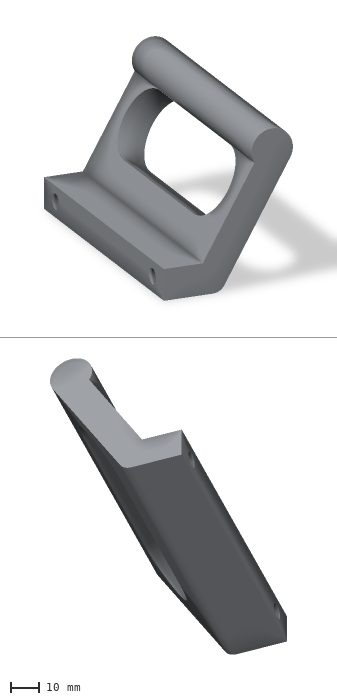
import cadquery as cq
import math

length = 106.0
depth = 50.0
height = 59.0

thickness = 12.0
knee_y = 15.0
bar_diameter = 16.0
heel_radius = 5.0

slot_length = 90.1
slot_width = 28.0
slot_rise = 12.3

hole_diameter = 4.9
hole_mouth_diameter = 6.0
hole_inset = 10.1
hole_depth = 15.0
drill_tip_angle = 118.0

bar_radius = bar_diameter / 2
bar_y = depth - bar_radius
bar_z = height - bar_radius

run = bar_y - knee_y
rise = bar_z - thickness
slope = math.atan2(rise, run) + math.asin((thickness - bar_radius) / math.hypot(run, rise))
slope_cos = math.cos(slope)
slope_sin = math.sin(slope)

heel_y = knee_y + thickness * math.tan(slope / 2)
tangent_y = bar_y + bar_radius * slope_sin
tangent_z = bar_z - bar_radius * slope_cos
front_end_y = tangent_y - thickness * slope_sin
front_end_z = tangent_z + thickness * slope_cos


def make_body():
    bracket = (
        cq.Workplane("YZ")
        .polyline([
            (0, 0),
            (heel_y, 0),
            (tangent_y, tangent_z),
            (front_end_y, front_end_z),
            (knee_y, thickness),
            (0, thickness),
        ])
        .close()
        .extrude(length / 2, both=True)
    )
    heel = cq.selectors.NearestToPointSelector((0, heel_y, 0))
    bracket = bracket.edges(heel).fillet(heel_radius)
    bar = (
        cq.Workplane("YZ")
        .center(bar_y, bar_z)
        .circle(bar_radius)
        .extrude(length / 2, both=True)
    )
    return bracket.union(bar)


def make_slot():
    """Rounded slot running square through the plate from its front face."""
    front_face = cq.Plane(
        origin=(0, knee_y, thickness),
        xDir=(1, 0, 0),
        normal=(0, -slope_sin, slope_cos),
    )
    return (
        cq.Workplane(front_face)
        .center(0, slot_rise + slot_width / 2)
        .slot2D(slot_length, slot_width)
        .extrude(-thickness)
    )


def make_hole(x):
    """Drilled hole with a 45 degree countersink and a conical bottom."""
    radius = hole_diameter / 2
    mouth_radius = hole_mouth_diameter / 2
    tip = radius / math.tan(math.radians(drill_tip_angle / 2))
    return (
        cq.Workplane("XY")
        .polyline([
            (0, 0),
            (mouth_radius, 0),
            (radius, mouth_radius - radius),
            (radius, hole_depth),
            (0, hole_depth + tip),
        ])
        .close()
        .revolve(360, (0, 0), (0, 1))
        .translate((x, 0, thickness / 2))
    )


result = make_body().cut(make_slot())
for side in (-1, 1):
    result = result.cut(make_hole(side * (length / 2 - hole_inset)))